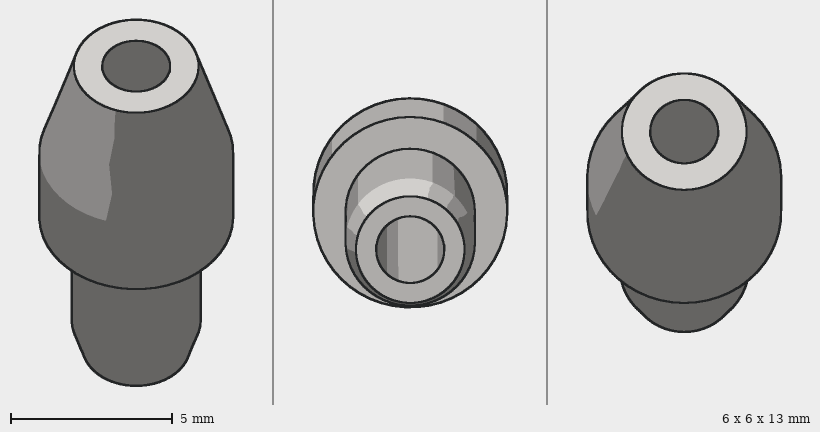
import cadquery as cq
import math

total_height = 13.0
tip_height = 1.2
shank_height = 4.8
collar_height = 3.0

collar_diameter = 6.0
shank_diameter = 4.0
bore_diameter = 2.1
taper_angle = 15.0

shank_bottom = tip_height
collar_bottom = shank_bottom + shank_height
nose_bottom = collar_bottom + collar_height
nose_height = total_height - nose_bottom

taper_slope = math.tan(math.radians(taper_angle))
collar_radius = collar_diameter / 2
shank_radius = shank_diameter / 2
bore_radius = bore_diameter / 2
tip_radius = shank_radius - tip_height * taper_slope
nose_radius = collar_radius - nose_height * taper_slope

half_section = [
    (bore_radius, 0),
    (tip_radius, 0),
    (shank_radius, shank_bottom),
    (shank_radius, collar_bottom),
    (collar_radius, collar_bottom),
    (collar_radius, nose_bottom),
    (nose_radius, total_height),
    (bore_radius, total_height),
]

result = (
    cq.Workplane("XZ")
    .polyline(half_section)
    .close()
    .revolve(360, (0, 0, 0), (0, 1, 0))
)